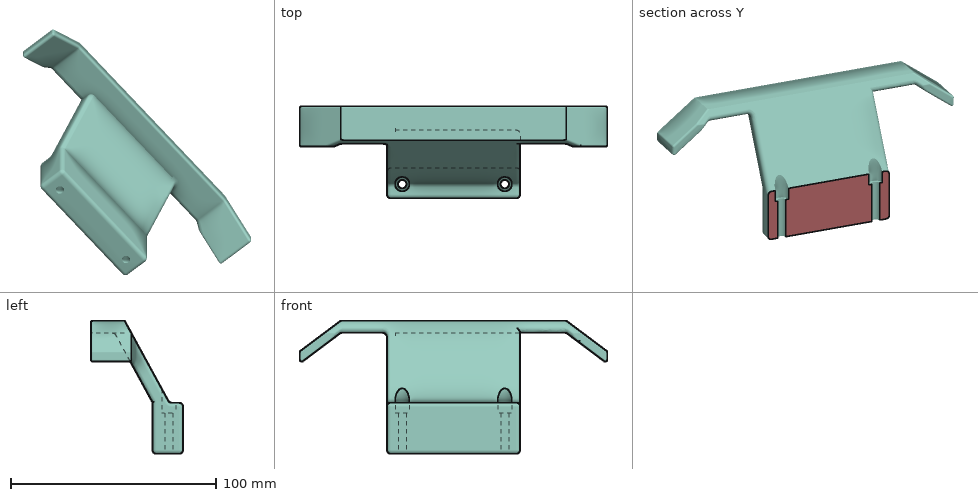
import cadquery as cq

TOTAL_LENGTH = 150.0
TOTAL_DEPTH = 45.0
TOTAL_HEIGHT = 65.0

BAR_THICKNESS = 6.0
WING_RUN = 20.0
WING_DROP = 15.0
BAR_TOP_DEPTH = 16.5
BAR_EDGE_RADIUS = 1.0

LEG_WIDTH = 65.0
FOOT_DEPTH = 15.0
FOOT_HEIGHT = 25.0
SLOPE_RATIO = 0.545
LEG_HORIZONTAL_THICKNESS = 8.2
LEG_EDGE_RADIUS = 2.0
INNER_RADIUS = 2.0

HOLE_SPACING = 50.0
HOLE_FRONT_DISTANCE = 7.0
HOLE_DIAMETER = 4.0
COUNTERBORE_DIAMETER = 7.0
COUNTERBORE_DEPTH = 5.0

HALF_LENGTH = TOTAL_LENGTH / 2
BEND_X = HALF_LENGTH - WING_RUN
HALF_LEG = LEG_WIDTH / 2
UNDERSIDE_Z = TOTAL_HEIGHT - BAR_THICKNESS
TIP_TOP_Z = TOTAL_HEIGHT - WING_DROP
TIP_BOTTOM_Z = TIP_TOP_Z - BAR_THICKNESS
FRONT_Y = -TOTAL_DEPTH
FOOT_BACK_Y = FRONT_Y + FOOT_DEPTH
LEFT_SPLIT_X = -HALF_LEG + 2 * LEG_EDGE_RADIUS


def slope_y(z):
    """Y of the sloping front face at height z."""
    return -BAR_TOP_DEPTH - SLOPE_RATIO * (TOTAL_HEIGHT - z)


def back_slope_y(z):
    """Y of the sloping back face of the leg at height z."""
    return slope_y(z) + LEG_HORIZONTAL_THICKNESS


WING_SLOPE = WING_DROP / WING_RUN
WING_FRONT_Y = slope_y(UNDERSIDE_Z)
BACK_SLOPE_RUN = LEG_HORIZONTAL_THICKNESS - BAR_TOP_DEPTH - FOOT_BACK_Y
BACK_CREASE_Z = TOTAL_HEIGHT - BACK_SLOPE_RUN / SLOPE_RATIO


def near(value, target):
    tolerance = 0.01
    return abs(value - target) < tolerance


def bar_top_z(x):
    """Height of the top of the bar and its wings at x."""
    return TOTAL_HEIGHT - WING_SLOPE * max(abs(x) - BEND_X, 0)


def is_bar_top_front(point):
    return near(point.y, WING_FRONT_Y) and near(point.z, bar_top_z(point.x))


def is_foot_crease(point):
    return near(point.z, FOOT_HEIGHT) and near(point.y, slope_y(FOOT_HEIGHT))


def is_on_leg_side(point):
    return near(abs(point.x), HALF_LEG) and point.z < UNDERSIDE_Z - INNER_RADIUS


def is_leg_back(point):
    on_back = near(point.y, FOOT_BACK_Y) or near(point.y, back_slope_y(point.z))
    return is_on_leg_side(point) and on_back


def is_left_inner_corner(point):
    in_corner = near(point.x, -HALF_LEG) and near(point.z, UNDERSIDE_Z)
    return in_corner and WING_FRONT_Y < point.y


def is_wing_bend_underside(point):
    return near(abs(point.x), BEND_X) and near(point.z, UNDERSIDE_Z)


def is_foot_outline(point):
    on_front = near(point.y, FRONT_Y)
    on_bottom = near(point.z, 0)
    return on_front or on_bottom


def is_leg_front(point):
    above_foot_side = point.z > FOOT_HEIGHT - INNER_RADIUS
    ahead_of_back = point.y < slope_y(point.z) + INNER_RADIUS
    return is_on_leg_side(point) and above_foot_side and ahead_of_back


def is_bar_underside_front(point):
    return near(point.z, UNDERSIDE_Z) and near(point.y, WING_FRONT_Y) and abs(point.x) < BEND_X


def is_leg_outline(point):
    return is_foot_outline(point) or is_leg_front(point) or is_bar_underside_front(point)


def is_bar_outline(point):
    on_back = near(point.y, 0)
    on_tip = near(abs(point.x), HALF_LENGTH)
    below_wing = near(point.z, bar_top_z(point.x) - BAR_THICKNESS) and abs(point.x) > BEND_X
    return on_back or on_tip or (below_wing and near(point.y, WING_FRONT_Y))


def round_edges(body, radius, edge_test):
    edges = [edge for edge in body.edges().vals() if edge_test(edge.Center())]
    return body.newObject(edges).fillet(radius)


def make_bar():
    """Bar with drooping wings, its upper front edge planed off along the leg slope."""
    front_outline = [
        (-HALF_LENGTH, TIP_TOP_Z),
        (-BEND_X, TOTAL_HEIGHT),
        (BEND_X, TOTAL_HEIGHT),
        (HALF_LENGTH, TIP_TOP_Z),
        (HALF_LENGTH, TIP_BOTTOM_Z),
        (BEND_X, UNDERSIDE_Z),
        (-BEND_X, UNDERSIDE_Z),
        (-HALF_LENGTH, TIP_BOTTOM_Z),
    ]
    bar = cq.Workplane("XZ").polyline(front_outline).close().extrude(-WING_FRONT_Y)
    bar = round_edges(bar, BAR_EDGE_RADIUS, is_bar_top_front)
    depth_profile = [
        (0, 0),
        (0, TOTAL_HEIGHT),
        (-BAR_TOP_DEPTH, TOTAL_HEIGHT),
        (WING_FRONT_Y, UNDERSIDE_Z),
        (WING_FRONT_Y, 0),
    ]
    envelope = cq.Workplane("YZ").polyline(depth_profile).close().extrude(HALF_LENGTH, both=True)
    return bar.intersect(envelope)


def make_leg():
    """Sloping leg hanging from the bar underside, ending in the foot block."""
    profile = [
        (back_slope_y(UNDERSIDE_Z), UNDERSIDE_Z),
        (WING_FRONT_Y, UNDERSIDE_Z),
        (slope_y(FOOT_HEIGHT), FOOT_HEIGHT),
        (FRONT_Y, FOOT_HEIGHT),
        (FRONT_Y, 0),
        (FOOT_BACK_Y, 0),
        (FOOT_BACK_Y, BACK_CREASE_Z),
    ]
    return cq.Workplane("YZ").polyline(profile).close().extrude(HALF_LEG, both=True)


def round_body(body, left_corner_rounded):
    """Round the concave edges first, so the convex edges can follow them."""
    body = round_edges(body, INNER_RADIUS, is_foot_crease)
    body = round_edges(body, LEG_EDGE_RADIUS, is_leg_back)
    if left_corner_rounded:
        body = round_edges(body, INNER_RADIUS, is_left_inner_corner)
    body = round_edges(body, INNER_RADIUS, is_wing_bend_underside)
    body = round_edges(body, LEG_EDGE_RADIUS, is_leg_outline)
    return round_edges(body, BAR_EDGE_RADIUS, is_bar_outline)


def make_left_side():
    """Block that covers everything left of the plane just inside the leg's left edge."""
    block = cq.Workplane("XY").box(TOTAL_LENGTH, TOTAL_DEPTH, TOTAL_HEIGHT, centered=False)
    return block.translate((LEFT_SPLIT_X - TOTAL_LENGTH, FRONT_Y, 0))


def make_body():
    """Bar and leg, with a rounded inner corner on the left and a sharp one on the right.

    The left rounding would run along the leg's back crease into the right corner,
    so the left side is taken from a rounded body and the rest from a sharp one.
    """
    raw_body = make_bar().union(make_leg())
    left_side = make_left_side()
    left_part = round_body(raw_body, True).intersect(left_side)
    right_part = round_body(raw_body, False).cut(left_side)
    return left_part.union(right_part)


def make_screw_cutters():
    """Through holes in the foot, with counterbores that also notch the sloping face."""
    hole_y = FRONT_Y + HOLE_FRONT_DISTANCE
    centres = [(-HOLE_SPACING / 2, hole_y), (HOLE_SPACING / 2, hole_y)]
    floor_z = FOOT_HEIGHT - COUNTERBORE_DEPTH
    holes = cq.Workplane("XY").pushPoints(centres).circle(HOLE_DIAMETER / 2).extrude(TOTAL_HEIGHT)
    counterbores = (
        cq.Workplane("XY", origin=(0, 0, floor_z))
        .pushPoints(centres)
        .circle(COUNTERBORE_DIAMETER / 2)
        .extrude(TOTAL_HEIGHT - floor_z)
    )
    return holes.union(counterbores)


result = make_body().cut(make_screw_cutters()).solids()